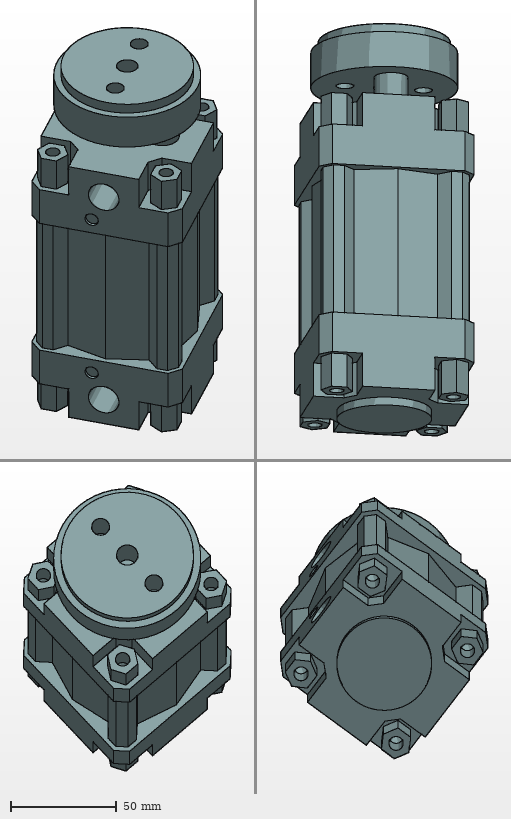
import cadquery as cq
import math

TOTAL_HEIGHT = 187.0
BASE_HEIGHT = 4.0
UPPER_CAP_BOTTOM = 113.9
UPPER_CAP_TOP = 150.0
LOWER_CAP_TOP = BASE_HEIGHT + UPPER_CAP_TOP - UPPER_CAP_BOTTOM

CAP_WIDTH = 75.0
CAP_CHAMFER = 5.5
BASE_DIAMETER = 45.0
CORNER_POCKET_DEPTH = 16.5
POCKET_WALL_SPACING = 35.0
CORNER_POCKET_CHAMFER = 5.2

PORT_DIAMETER = 15.1
PORT_DEPTH = 18.7
PORT_OFFSET = 14.0
SCREW_DIAMETER = 6.5
SCREW_DEPTH = 1.5
SCREW_OFFSET = 28.5
SCREW_X = -6.0

NUT_SPACING = 56.5
NUT_ACROSS_FLATS = 13.0
NUT_HOLE_DIAMETER = 6.7
NUT_HOLE_DEPTH = 15.0
DRILL_POINT_ANGLE = 118.0

BARREL_HALF_WIDTH = 35.3
BARREL_CHAMFER = 4.1
RIDGE_DISTANCE = 35.0
GROOVE_X = 20.2
POST_X = 25.8

FLANGE_DIAMETER = 70.0
FLANGE_BOTTOM = 164.5
RAISED_DIAMETER = 63.0
RAISED_HEIGHT = 5.0
ROD_DIAMETER = 16.0
ROD_SPACING = 35.0
CENTRE_HOLE_DIAMETER = 10.1
SIDE_HOLE_DIAMETER = 8.5
SIDE_HOLE_SPACING = 38.0


def cylinder(diameter, height, x=0.0, y=0.0, z=0.0):
    """Upright cylinder standing on height z."""
    return cq.Workplane("XY", origin=(x, y, z)).circle(diameter / 2).extrude(height)


def front_hole(diameter, depth, x, z):
    """Cylinder that cuts a blind hole into the -Y face of a cap."""
    face = cq.Workplane("XZ", origin=(x, -CAP_WIDTH / 2, z))
    return face.circle(diameter / 2).extrude(-depth)


def drilled_hole(x, y):
    """Blind hole with a conical bottom, open upward at the top of the upper cap."""
    radius = NUT_HOLE_DIAMETER / 2
    point_length = radius / math.tan(math.radians(DRILL_POINT_ANGLE / 2))
    profile = (
        cq.Workplane("XZ", origin=(x, y, UPPER_CAP_TOP))
        .polyline([
            (0, 0),
            (radius, 0),
            (radius, -NUT_HOLE_DEPTH),
            (0, -NUT_HOLE_DEPTH - point_length),
        ])
        .close()
    )
    return profile.revolve(360, (0, 0, 0), (0, 1, 0))


def hex_nut(x, y):
    """Hexagonal nut filling the height of a corner pocket of the upper cap."""
    corner_diameter = NUT_ACROSS_FLATS / math.cos(math.pi / 6)
    turn = 0 if x * y > 0 else 90
    nut = cq.Workplane("XY").polygon(6, corner_diameter).extrude(CORNER_POCKET_DEPTH)
    nut = nut.rotate((0, 0, 0), (0, 0, 1), turn)
    return nut.translate((x, y, UPPER_CAP_TOP - CORNER_POCKET_DEPTH))


def corner_pocket(side_x, side_y):
    """Block that cuts one corner pocket, with a slanted wall across its inner corner."""
    near = POCKET_WALL_SPACING / 2
    slant_end = near + CORNER_POCKET_CHAMFER
    far = CAP_WIDTH / 2
    outline = [(slant_end, near), (far, near), (far, far), (near, far), (near, slant_end)]
    return (
        cq.Workplane("XY", origin=(0, 0, UPPER_CAP_TOP))
        .polyline([(side_x * x, side_y * y) for x, y in outline])
        .close()
        .extrude(-CORNER_POCKET_DEPTH)
    )


def make_upper_cap():
    """Chamfered square block with corner pockets, nuts and two holes in the front."""
    height = UPPER_CAP_TOP - UPPER_CAP_BOTTOM
    cap = (
        cq.Workplane("XY", origin=(0, 0, UPPER_CAP_BOTTOM))
        .rect(CAP_WIDTH, CAP_WIDTH)
        .extrude(height)
        .edges("|Z")
        .chamfer(CAP_CHAMFER)
    )
    nut_distance = NUT_SPACING / 2
    for side_x in (-1, 1):
        for side_y in (-1, 1):
            cap = cap.cut(corner_pocket(side_x, side_y))
            nut_x = side_x * nut_distance
            nut_y = side_y * nut_distance
            cap = cap.union(hex_nut(nut_x, nut_y)).cut(drilled_hole(nut_x, nut_y))
    cap = cap.cut(front_hole(PORT_DIAMETER, PORT_DEPTH, 0, UPPER_CAP_TOP - PORT_OFFSET))
    return cap.cut(front_hole(SCREW_DIAMETER, SCREW_DEPTH, SCREW_X, UPPER_CAP_TOP - SCREW_OFFSET))


def make_barrel():
    """Tube section with four corner posts and a low ridge along each side."""
    groove_distance = BARREL_HALF_WIDTH - (POST_X - GROOVE_X)
    chamfer_start = BARREL_HALF_WIDTH - BARREL_CHAMFER
    side = [
        (-chamfer_start, -BARREL_HALF_WIDTH),
        (-POST_X, -BARREL_HALF_WIDTH),
        (-GROOVE_X, -groove_distance),
        (0, -RIDGE_DISTANCE),
        (GROOVE_X, -groove_distance),
        (POST_X, -BARREL_HALF_WIDTH),
        (chamfer_start, -BARREL_HALF_WIDTH),
    ]
    outline = []
    for _ in range(4):
        outline.extend(side)
        side = [(-y, x) for x, y in side]
    barrel = cq.Workplane("XY", origin=(0, 0, LOWER_CAP_TOP)).polyline(outline).close()
    return barrel.extrude(UPPER_CAP_BOTTOM - LOWER_CAP_TOP)


def make_housing():
    """Barrel between two mirrored end caps, standing on a round base."""
    upper_cap = make_upper_cap()
    middle = (BASE_HEIGHT + UPPER_CAP_TOP) / 2
    lower_cap = upper_cap.mirror("XY", (0, 0, middle))
    base = cylinder(BASE_DIAMETER, BASE_HEIGHT)
    return make_barrel().union(upper_cap).union(lower_cap).union(base)


def make_moving_plate():
    """Round stepped plate carried by two rods that rise from the upper cap."""
    thickness = TOTAL_HEIGHT - FLANGE_BOTTOM
    plate = cylinder(FLANGE_DIAMETER, thickness - RAISED_HEIGHT, z=FLANGE_BOTTOM)
    plate = plate.union(cylinder(RAISED_DIAMETER, thickness, z=FLANGE_BOTTOM))
    plate = plate.cut(cylinder(CENTRE_HOLE_DIAMETER, thickness, z=FLANGE_BOTTOM))
    for side in (-1, 1):
        hole_y = side * SIDE_HOLE_SPACING / 2
        plate = plate.cut(cylinder(SIDE_HOLE_DIAMETER, thickness, y=hole_y, z=FLANGE_BOTTOM))
    for side in (-1, 1):
        rod_x = side * ROD_SPACING / 2
        rod_length = FLANGE_BOTTOM - UPPER_CAP_TOP
        plate = plate.union(cylinder(ROD_DIAMETER, rod_length, x=rod_x, z=UPPER_CAP_TOP))
    return plate


housing = make_housing()
moving_plate = make_moving_plate()
result = cq.Compound.makeCompound([housing.val(), moving_plate.val()])